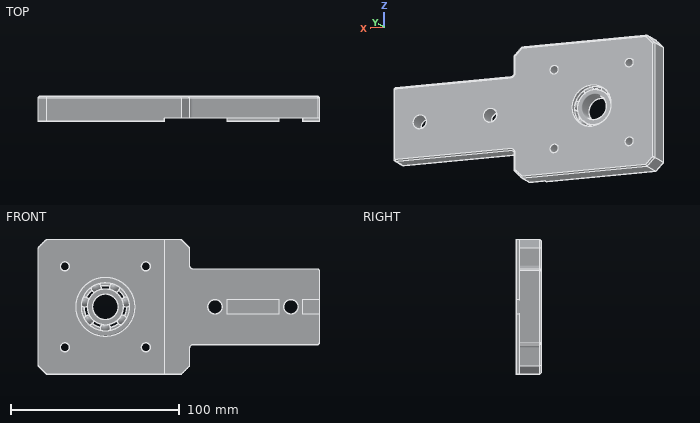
import cadquery as cq
import math


TOTAL_LENGTH = 167.0
BLOCK_LENGTH = 90.0
BLOCK_WIDTH = 80.0
THICKNESS = 15.0
BLOCK_CORNER = 5.0
BACK_CHAMFER = 1.0
STEP_X = 75.0
STEP_DEPTH = 2.0
ARM_WIDTH = 45.0
ARM_ROOT_RADIUS = 2.0
ARM_TIP_CHAMFER = 1.0

ARM_HOLE_DIAMETER = 8.4
ARM_HOLE_POSITIONS = (105.0, 150.0)
PAD_WIDTH = ARM_HOLE_DIAMETER
PAD_GAP = 7.0

BEARING_X = 40.0
SHOULDER_DIAMETER = 25.0
MOUNT_HOLE_DIAMETER = 5.2
MOUNT_HOLE_SPACING = 48.0

BEARING_BORE = 15.0
INNER_RING_DIAMETER = 21.4
OUTER_RING_BORE = 28.6
BEARING_DIAMETER = 35.0
BEARING_WIDTH = 11.0
RING_FILLET = 0.6
BALL_DIAMETER = 6.0
BALL_COUNT = 7


def front_plane(y, x=0.0):
    """Workplane parallel to XZ at depth y, extruding towards the back (+Y)."""
    return cq.Workplane(cq.Plane(origin=(x, y, 0), xDir=(1, 0, 0), normal=(0, 1, 0)))


def box(x_start, x_end, y_start, y_end, width):
    """Box centred on Z = 0."""
    middle = (x_start + x_end) / 2
    return front_plane(y_start, middle).rect(x_end - x_start, width).extrude(y_end - y_start)


def make_body():
    """Block and arm in one thickness, with the back rim chamfered and the front stepped down."""
    block = box(0, BLOCK_LENGTH, 0, THICKNESS, BLOCK_WIDTH).edges("|Y").chamfer(BLOCK_CORNER)
    arm = box(STEP_X, TOTAL_LENGTH, 0, THICKNESS, ARM_WIDTH)
    arm = arm.edges(">X and |Y").chamfer(ARM_TIP_CHAMFER)
    body = block.union(arm)

    root_corners = cq.selectors.BoxSelector(
        (BLOCK_LENGTH - ARM_ROOT_RADIUS, 0, -ARM_WIDTH / 2 - ARM_ROOT_RADIUS),
        (BLOCK_LENGTH + ARM_ROOT_RADIUS, THICKNESS, ARM_WIDTH / 2 + ARM_ROOT_RADIUS),
    )
    body = body.edges("|Y").edges(root_corners).fillet(ARM_ROOT_RADIUS)
    body = body.faces(">Y").edges().chamfer(BACK_CHAMFER)
    return body.cut(box(STEP_X, TOTAL_LENGTH, 0, STEP_DEPTH, BLOCK_WIDTH))


def make_pads():
    first_hole, last_hole = ARM_HOLE_POSITIONS
    middle = box(first_hole + PAD_GAP, last_hole - PAD_GAP, 0, STEP_DEPTH, PAD_WIDTH)
    end = box(last_hole + PAD_GAP, TOTAL_LENGTH, 0, STEP_DEPTH, PAD_WIDTH)
    return middle, end


def make_plate():
    plate = make_body()
    for pad in make_pads():
        plate = plate.union(pad)
    seat = front_plane(0, BEARING_X).circle(BEARING_DIAMETER / 2).extrude(BEARING_WIDTH)
    opening = front_plane(0, BEARING_X).circle(SHOULDER_DIAMETER / 2).extrude(THICKNESS)
    mount_holes = (
        front_plane(0, BEARING_X)
        .rect(MOUNT_HOLE_SPACING, MOUNT_HOLE_SPACING, forConstruction=True)
        .vertices()
        .circle(MOUNT_HOLE_DIAMETER / 2)
        .extrude(THICKNESS)
    )
    arm_holes = (
        front_plane(0)
        .pushPoints([(x, 0) for x in ARM_HOLE_POSITIONS])
        .circle(ARM_HOLE_DIAMETER / 2)
        .extrude(THICKNESS)
    )
    return plate.cut(seat).cut(opening).cut(mount_holes).cut(arm_holes)


def make_ring(outer_diameter, inner_diameter):
    outline = front_plane(0, BEARING_X).circle(outer_diameter / 2).circle(inner_diameter / 2)
    return outline.extrude(BEARING_WIDTH)


def make_bearing():
    """Rings and balls as one solid: the balls sink into both rings."""
    inner_ring = make_ring(INNER_RING_DIAMETER, BEARING_BORE)
    inner_ring = inner_ring.edges(cq.selectors.RadiusNthSelector(0)).fillet(RING_FILLET)
    outer_ring = make_ring(BEARING_DIAMETER, OUTER_RING_BORE)
    outer_ring = outer_ring.edges(cq.selectors.RadiusNthSelector(-1)).fillet(RING_FILLET)
    bearing = inner_ring.union(outer_ring)

    pitch_radius = (INNER_RING_DIAMETER + OUTER_RING_BORE) / 4
    for i in range(BALL_COUNT):
        angle = math.radians(-90 + i * 360 / BALL_COUNT)
        ball_x = BEARING_X + pitch_radius * math.cos(angle)
        ball_z = pitch_radius * math.sin(angle)
        ball = front_plane(BEARING_WIDTH / 2, ball_x).sphere(BALL_DIAMETER / 2)
        bearing = bearing.union(ball.translate((0, 0, ball_z)))
    return bearing


plate = make_plate()
bearing = make_bearing()
result = cq.Compound.makeCompound([plate.val(), bearing.val()])